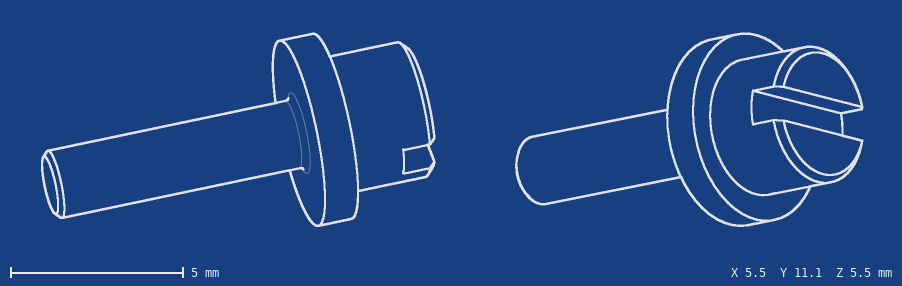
import cadquery as cq

total_length = 11.1
flange_diameter = 5.5
flange_thickness = 1.0
head_diameter = 4.0
head_height = 2.6
head_chamfer = 0.2
shank_diameter = 2.0
shank_chamfer = 0.14
root_fillet = 0.2
slot_width = 1.0
slot_depth = 1.0

shank_length = total_length - flange_thickness - head_height
head_top = flange_thickness + head_height


def cylinder_along_y(diameter, start, length):
    """Solid cylinder on the Y axis, growing from start toward +Y."""
    base = cq.Workplane("XZ", origin=(0, start, 0))
    return base.circle(diameter / 2).extrude(-length)


flange = cylinder_along_y(flange_diameter, 0, flange_thickness)

head = cylinder_along_y(head_diameter, flange_thickness, head_height)
head = head.faces(">Y").chamfer(head_chamfer)

shank = cylinder_along_y(shank_diameter, -shank_length, shank_length)

body = flange.union(head).union(shank)

body = body.edges(cq.selectors.RadiusNthSelector(0)).edges(">Y").fillet(root_fillet)

body = body.faces("<Y").chamfer(shank_chamfer)

slot = cq.Workplane("XY").box(head_diameter, slot_depth, slot_width)
slot = slot.translate((0, head_top - slot_depth / 2, 0))

result = body.cut(slot)